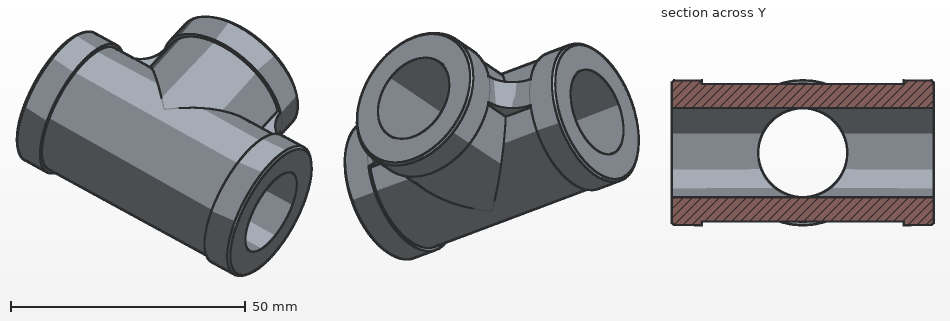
import cadquery as cq

run_length = 56.0
collar_diameter = 31.0
body_diameter = 29.55
bore_diameter = 19.0
collar_width = 6.45
rim_chamfer = 0.5
web_thickness = 6.45

arm_length = run_length / 2
collar_start = arm_length - collar_width


def arm_plane(direction):
    """Plane through the centre of the tee, facing along an arm."""
    return cq.Plane(origin=(0, 0, 0), xDir=(0, 0, 1), normal=direction)


def arm_body(direction):
    """Plain pipe with a wider collar, chamfered at its outer rim."""
    pipe = cq.Workplane(arm_plane(direction)).circle(body_diameter / 2).extrude(arm_length)
    collar = (
        cq.Workplane(arm_plane(direction))
        .workplane(offset=collar_start)
        .circle(collar_diameter / 2)
        .extrude(collar_width)
        .faces(cq.selectors.DirectionMinMaxSelector(cq.Vector(direction), True))
        .chamfer(rim_chamfer)
    )
    return pipe.union(collar)


def arm_bore(direction):
    """Hole from the centre of the tee out through an arm."""
    return cq.Workplane(arm_plane(direction)).circle(bore_diameter / 2).extrude(arm_length)


def corner_web(side):
    """Flat web in one inner corner (side -1 or 1).

    Its crowned, concave edge is the inside of an elbow of collar diameter
    that bends from the collar of the run into the collar of the branch.
    """
    plate = cq.Workplane("XY").box(collar_start, collar_start, web_thickness)
    plate = plate.translate((side * collar_start / 2, collar_start / 2, 0))
    bend_centre = cq.Vector(side * collar_start, collar_start, 0)
    elbow = cq.Solid.makeTorus(collar_start, collar_diameter / 2, bend_centre, cq.Vector(0, 0, 1))
    return plate.intersect(cq.Workplane(elbow))


arm_directions = [(-1, 0, 0), (1, 0, 0), (0, 1, 0)]

result = corner_web(-1).union(corner_web(1))
for arm_direction in arm_directions:
    result = result.union(arm_body(arm_direction))
for arm_direction in arm_directions:
    result = result.cut(arm_bore(arm_direction))